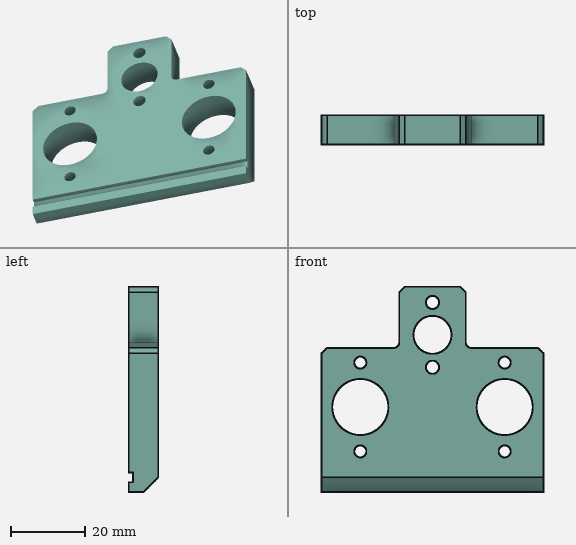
import cadquery as cq

width = 60.0
thickness = 8.0
height = 55.5
shoulder_height = 39.0
tab_width = 18.0
corner_chamfer = 1.5
inner_corner_radius = 1.5

bottom_bevel = 4.0
groove_depth = 1.1
groove_height = 2.6
groove_bottom = 2.7

side_bore_diameter = 15.1
side_screw_diameter = 3.2
side_screw_offset = 12.0
side_bore_x = 19.5
side_bore_z = 23.0
tab_bore_diameter = 10.2
tab_screw_diameter = 3.5
tab_screw_offset = 8.75
tab_bore_z = 42.5


def block(size_x, z_bottom, z_top):
    """Full-thickness block centred on X = 0."""
    size_z = z_top - z_bottom
    return (
        cq.Workplane("XY")
        .box(size_x, thickness, size_z, centered=(True, False, False))
        .translate((0, 0, z_bottom))
    )


def chamfered_block(size_x, z_bottom, z_top):
    """Block with both upper corners chamfered."""
    return block(size_x, z_bottom, z_top).faces(">Z").edges("|Y").chamfer(corner_chamfer)


def plate():
    """Wide body with a narrow tab on top, rounded where they meet."""
    body = chamfered_block(width, 0, shoulder_height)
    tab = chamfered_block(tab_width, shoulder_height / 2, height)
    inner_corners = cq.selectors.BoxSelector(
        (-tab_width, -thickness, shoulder_height - inner_corner_radius / 2),
        (tab_width, 2 * thickness, shoulder_height + inner_corner_radius / 2),
    )
    return body.union(tab).edges("|Y").edges(inner_corners).fillet(inner_corner_radius)


def bevel_bottom(part):
    """Bevel the lower front edge at 45 degrees."""
    return part.faces("<Z").edges("<Y").chamfer(bottom_bevel)


def cut_groove(part):
    """Cut a rectangular groove along the back face, near the bottom."""
    groove = block(width, groove_bottom, groove_bottom + groove_height)
    return part.cut(groove.translate((0, thickness - groove_depth, 0)))


def through_hole(x, z, diameter):
    """Cylinder along Y through the whole thickness."""
    axis_direction = cq.Vector(0, 1, 0)
    return cq.Solid.makeCylinder(diameter / 2, thickness, cq.Vector(x, 0, z), axis_direction)


def cut_hole_group(part, x, z, bore_diameter, screw_diameter, screw_offset):
    """Cut a bore and the two screw holes above and below it."""
    part = part.cut(cq.Workplane(through_hole(x, z, bore_diameter)))
    for side in (-1, 1):
        screw_hole = through_hole(x, z + side * screw_offset, screw_diameter)
        part = part.cut(cq.Workplane(screw_hole))
    return part


result = cut_groove(bevel_bottom(plate()))
for side_x in (-side_bore_x, side_bore_x):
    result = cut_hole_group(
        result, side_x, side_bore_z, side_bore_diameter, side_screw_diameter, side_screw_offset
    )
result = cut_hole_group(
    result, 0, tab_bore_z, tab_bore_diameter, tab_screw_diameter, tab_screw_offset
)